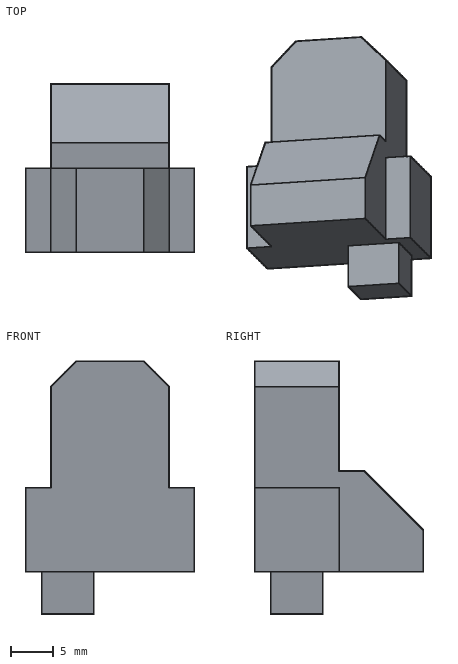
import cadquery as cq

base_width = 20.0
base_depth = 10.0
base_height = 10.0

upright_width = 14.0
upright_top = 25.0
upright_chamfer = 3.0

rear_depth = 10.0
rear_height = 12.0
rear_chamfer = 7.0

peg_side = 6.2
peg_length = 5.0
peg_center_x = -base_width / 4
peg_center_y = base_depth / 2


def block(width, depth, height, center_x=0.0, front_y=0.0, bottom_z=0.0):
    """Box centred on center_x, starting at front_y and bottom_z."""
    return cq.Workplane("XY").box(width, depth, height, centered=(True, False, False)).translate(
        (center_x, front_y, bottom_z)
    )


def make_upright():
    upright = block(upright_width, base_depth, upright_top)
    return upright.faces(">Z").edges("|Y").chamfer(upright_chamfer)


def make_rear_support():
    support = block(upright_width, rear_depth, rear_height, front_y=base_depth)
    return support.edges(">Y and >Z").chamfer(rear_chamfer)


def make_peg():
    front_y = peg_center_y - peg_side / 2
    return block(peg_side, peg_side, peg_length, peg_center_x, front_y, -peg_length)


result = (
    block(base_width, base_depth, base_height)
    .union(make_upright())
    .union(make_rear_support())
    .union(make_peg())
    .clean()
)